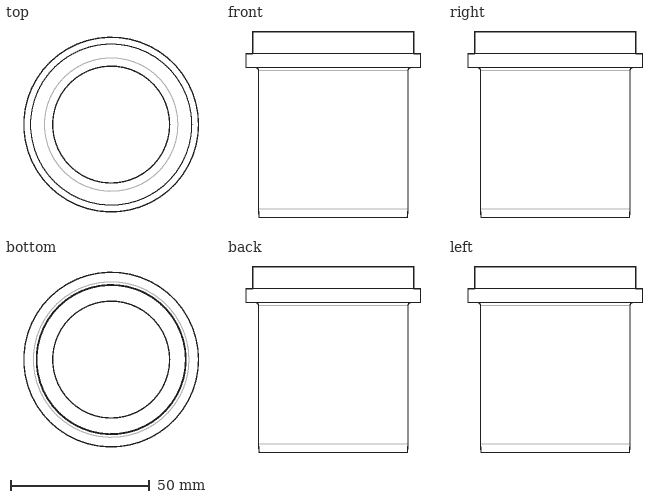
import cadquery as cq

total_height = 67.0
flange_radius = 63.0 / 2
head_radius = 58.0 / 2
body_radius = 54.0 / 2
bore_radius = 42.0 / 2

head_height = 8.0
flange_thickness = 5.0
flange_top = total_height - head_height
flange_bottom = flange_top - flange_thickness

mouth_radius = 3.0
neck_fillet_radius = 1.0
lead_in_height = 3.0
lead_in_depth = 0.3

half_section = (
    cq.Workplane("XZ")
    .moveTo(bore_radius, 0)
    .lineTo(body_radius - lead_in_depth, 0)
    .lineTo(body_radius, lead_in_height)
    .lineTo(body_radius, flange_bottom - neck_fillet_radius)
    .radiusArc((body_radius + neck_fillet_radius, flange_bottom), neck_fillet_radius)
    .lineTo(flange_radius, flange_bottom)
    .lineTo(flange_radius, flange_top)
    .lineTo(head_radius, flange_top)
    .lineTo(head_radius, total_height)
    .lineTo(bore_radius + mouth_radius, total_height)
    .radiusArc((bore_radius, total_height - mouth_radius), -mouth_radius)
    .close()
)

result = half_section.revolve(360, (0, 0, 0), (0, 1, 0))